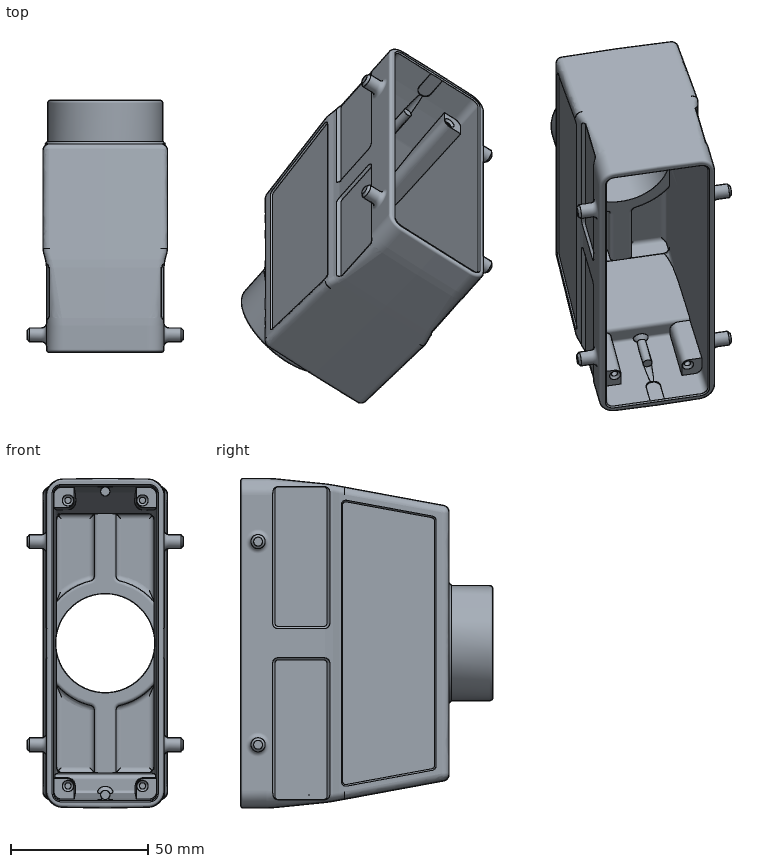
import cadquery as cq
import math


body_depth = 76.0
mouth_half_width = 21.4
rear_half_width = 22.7
mouth_half_height = 60.1
rear_half_height = 49.9
mouth_corner = 6.0
rear_corner = 2.4
straight_depth = 11.0
mouth_bend_length = 2.9
rear_bend_length = 2.9
bend_depth = 32.3
flare_end_depth = 36.2
flare_half_width = 22.5
rear_start_depth = 37.9
bend_half_height = 57.9
ridge_angle = 0.9
rear_slope = (bend_half_height - rear_half_height) / (body_depth - bend_depth)
mouth_edge_round = 1.0


def rear_height_at(depth):
    return rear_half_height + rear_slope * (body_depth - depth)


front_shell_sections = [
    (0, mouth_half_width, mouth_half_height, mouth_corner),
    (straight_depth, mouth_half_width, mouth_half_height, mouth_corner),
    (bend_depth, mouth_half_width, bend_half_height, rear_corner),
    (flare_end_depth, flare_half_width, rear_height_at(flare_end_depth), rear_corner),
]
front_shell_bend_lengths = [mouth_bend_length, rear_bend_length]
rear_start_section = (
    rear_start_depth, rear_half_width, rear_height_at(rear_start_depth), rear_corner)

land_depth = 65.5
cavity_mouth_half_width = 18.9
cavity_rear_half_width = 17.8
cavity_mouth_half_height = 57.3
cavity_first_bend_depth = 12.6
cavity_first_bend_half_height = 56.7
cavity_second_bend_depth = 29.5
cavity_second_bend_half_height = 54.8
cavity_rear_half_height = 47.4
cavity_corner = 2.8


def cavity_half_width(depth):
    narrowing = cavity_mouth_half_width - cavity_rear_half_width
    return cavity_mouth_half_width - narrowing * depth / land_depth


cavity_sections = [
    (depth, cavity_half_width(depth), half_height, cavity_corner)
    for depth, half_height in [
        (0, cavity_mouth_half_height),
        (cavity_first_bend_depth, cavity_first_bend_half_height),
        (cavity_second_bend_depth, cavity_second_bend_half_height),
        (land_depth, cavity_rear_half_height),
    ]
]

cavity_mouth_chamfer = 0.5
cavity_first_bend_length = 4.8
cavity_second_bend_length = 0.5
cavity_bend_lengths = [cavity_first_bend_length, cavity_second_bend_length]

post_front = 10.8
post_inner_x = 11.3
post_inner_z = 49.4
post_round = 2.6
post_draft = 1.1
screw_x = 13.6
screw_z = 52.0
screw_hole_diameter = 2.3
screw_chamfer_diameter = 4.1
screw_hole_depth = 14.4

ledge_front = 30.7
ledge_front_top_z = -48.1
ledge_rear_top_z = -47.2
ledge_edge_round = 1.7
ledge_foot_round = 1.2

pocket_floor = 72.1
pocket_end_z = 47.1
rib_half_width = 4.0
ring_radius = 23.3
rib_joint_round = 1.8
pocket_edge_round = 1.2
pocket_floor_round = 1.9

outlet_diameter = 42.1
outlet_bore = 36.0
outlet_end = 92.0
outlet_end_round = 1.2
outlet_foot_round = 1.0

peg_diameter = 5.2
peg_tip_x = 28.5
peg_y = 6.4
peg_z = 37.0
peg_tip_chamfer = 1.0
peg_foot_round = 1.8

front_panel_depth = 1.02
front_panel_start = 11.7
front_panel_inner_z = 5.3
front_panel_outer_z = 57.8
front_panel_wall_run = 0.8
rear_panel_depth = 0.6
rear_panel_wall_run = 0.6
rear_panel_start = 36.5
rear_panel_end = 71.3
rear_panel_margin = 5.3
panel_corner = 1.2

pin_diameter = 3.4
pin_z = 55.3
pin_start = 18.0
pin_end = 33.7
pin_collar_diameter = 6.3
mouth_relief_width = 5.3
mouth_relief_depth = 10.0
mouth_relief_corner = 2.5

overlap = 1.2
arc_middle = 1 - math.sqrt(0.5)


def y_cylinder(diameter, x, z, start, end):
    return cq.Workplane(cq.Solid.makeCylinder(
        diameter / 2, end - start, cq.Vector(x, start, z), cq.Vector(0, 1, 0)))


def box_between(x_range, y_range, z_range):
    corner = cq.Vector(x_range[0], y_range[0], z_range[0])
    return cq.Workplane(cq.Solid.makeBox(
        x_range[1] - x_range[0], y_range[1] - y_range[0], z_range[1] - z_range[0], corner))


def section_wire(depth, half_width, half_height, corner, ridge):
    """Rounded rectangle at one depth, its short sides rising by the ridge angle to X = 0."""
    angle = math.radians(ridge)
    center_x = half_width - corner
    center_z = half_height - center_x * math.tan(angle) - corner / math.cos(angle)

    def corner_point(degrees_from_x, side_x, side_z):
        turn = math.radians(degrees_from_x)
        return side_x * (center_x + corner * math.cos(turn)), side_z * (center_z + corner * math.sin(turn))

    side, middle, eave = 0, 45, 90 - ridge
    outline = (
        cq.Workplane("XZ", origin=(0, depth, 0))
        .moveTo(0, half_height)
        .lineTo(*corner_point(eave, 1, 1))
        .threePointArc(corner_point(middle, 1, 1), corner_point(side, 1, 1))
        .lineTo(*corner_point(side, 1, -1))
        .threePointArc(corner_point(middle, 1, -1), corner_point(eave, 1, -1))
        .lineTo(0, -half_height)
        .lineTo(*corner_point(eave, -1, -1))
        .threePointArc(corner_point(middle, -1, -1), corner_point(side, -1, -1))
        .lineTo(*corner_point(side, -1, 1))
        .threePointArc(corner_point(middle, -1, 1), corner_point(eave, -1, 1))
        .close()
    )
    return outline.val()


def interpolate(start, end, fraction):
    return tuple(a + (b - a) * fraction for a, b in zip(start, end))


def ease_bends(sections, bend_lengths):
    """Replace every inner section by one just before and one just after it."""
    eased = [sections[0]]
    for before, bend, after, length in zip(sections, sections[1:], sections[2:], bend_lengths):
        half = length / 2
        eased.append(interpolate(bend, before, half / (bend[0] - before[0])))
        eased.append(interpolate(bend, after, half / (after[0] - bend[0])))
    return eased + [sections[-1]]


def loft_sections(sections, ridge):
    wires = [section_wire(*section, ridge) for section in sections]
    return cq.Workplane(cq.Solid.makeLoft(wires, True))


def ridged_wire(depth, half_width, half_height):
    """Sharp cornered version of the section outline."""
    eave = half_height - half_width * math.tan(math.radians(ridge_angle))
    points = [
        (0, half_height), (half_width, eave), (half_width, -eave),
        (0, -half_height), (-half_width, -eave), (-half_width, eave)]
    return cq.Workplane("XZ", origin=(0, depth, 0)).polyline(points).close().val()


def make_front_shell():
    sections = ease_bends(front_shell_sections, front_shell_bend_lengths) + [rear_start_section]
    return loft_sections(sections, ridge_angle).faces("<Y").edges().fillet(mouth_edge_round)


def make_rear_shell():
    """Tapered rear half, rounded along its corners and around the rear face."""
    wires = [
        ridged_wire(rear_start_depth, rear_half_width, rear_height_at(rear_start_depth)),
        ridged_wire(body_depth, rear_half_width, rear_half_height)]
    rear = cq.Workplane(cq.Solid.makeLoft(wires, True))
    rear_face_edges = rear.faces(">Y").edges()
    corner_edges = rear.faces("<X or >X").edges("not |Z").edges("not #Y")
    return corner_edges.add(rear_face_edges).fillet(rear_corner)


def make_outer_shell():
    return make_front_shell().union(make_rear_shell())


def add_outlet(shell):
    tube = y_cylinder(outlet_diameter, 0, 0, body_depth - overlap, outlet_end)
    tube = tube.faces(">Y").edges().fillet(outlet_end_round)
    foot = cq.Workplane(cq.Solid.makeCone(
        outlet_diameter / 2 + outlet_foot_round, outlet_diameter / 2, outlet_foot_round,
        cq.Vector(0, body_depth, 0), cq.Vector(0, 1, 0)))
    return shell.union(tube).union(foot)


def make_rear_web():
    """Outlet ring and the rib across it, standing proud of the pocket floors with rounded edges."""
    ring = y_cylinder(2 * ring_radius, 0, 0, land_depth, pocket_floor)
    rib = box_between(
        (-rib_half_width, rib_half_width), (land_depth, pocket_floor), (-rear_half_height, rear_half_height))
    web = ring.union(rib)
    reach = rib_half_width + overlap
    joints = cq.selectors.BoxSelector((-reach, 0, -ring_radius), (reach, body_depth, ring_radius))
    web = web.edges("|Y").edges(joints).fillet(rib_joint_round)
    return web.faces("<Y").edges().fillet(pocket_edge_round)


def make_pockets():
    """The four pockets between the ring, the rib and the cavity walls."""
    block = box_between(
        (-cavity_rear_half_width, cavity_rear_half_width), (land_depth, pocket_floor),
        (-pocket_end_z, pocket_end_z))
    pockets = block.cut(make_rear_web())
    return pockets.faces(">Y").edges().fillet(pocket_floor_round)


def make_post(side_x, side_z):
    """Corner post, from its front face back into the rear wall."""
    front = box_between(
        (post_inner_x, mouth_half_width), (post_front, post_front + overlap),
        (post_inner_z, mouth_half_height))
    front = front.edges("|Y and <X and <Z").fillet(post_round)
    outline = front.faces("<Y").wires().val()
    length = land_depth + overlap - post_front
    post = (
        cq.Workplane("XZ", origin=(0, post_front, 0))
        .add(outline)
        .toPending()
        .extrude(-length, taper=-post_draft)
    )
    if side_x < 0:
        post = post.mirror("YZ")
    return post.mirror("XY") if side_z < 0 else post


def make_ledge():
    """Ledge with a rounded top edge and a rounded foot, plus the collar around the lower pin."""
    foot_z = -cavity_second_bend_half_height
    top_bulge = ledge_edge_round * arc_middle
    foot_bulge = ledge_foot_round * arc_middle
    profile = (
        cq.Workplane("YZ", origin=(-mouth_half_width, 0, 0))
        .moveTo(land_depth + overlap, -mouth_half_height)
        .lineTo(land_depth + overlap, ledge_rear_top_z)
        .lineTo(ledge_front + ledge_edge_round, ledge_front_top_z)
        .threePointArc(
            (ledge_front + top_bulge, ledge_front_top_z - top_bulge),
            (ledge_front, ledge_front_top_z - ledge_edge_round))
        .lineTo(ledge_front, foot_z + ledge_foot_round)
        .threePointArc(
            (ledge_front - foot_bulge, foot_z + foot_bulge),
            (ledge_front - ledge_foot_round, foot_z))
        .lineTo(ledge_front - ledge_foot_round, -mouth_half_height)
        .close()
    )
    collar_height = (pin_collar_diameter - pin_diameter) / 2
    collar = cq.Workplane(cq.Solid.makeCone(
        pin_diameter / 2, pin_collar_diameter / 2, collar_height,
        cq.Vector(0, ledge_front - collar_height, -pin_z), cq.Vector(0, 1, 0)))
    return profile.extrude(2 * mouth_half_width).union(collar)


def make_cavity():
    """The hollow of the hood: tapered core less the posts and the ledge, plus the rear pockets."""
    main_sections = ease_bends(cavity_sections, cavity_bend_lengths)
    mouth_section = (
        0, cavity_mouth_half_width + cavity_mouth_chamfer,
        cavity_mouth_half_height + cavity_mouth_chamfer, cavity_corner + cavity_mouth_chamfer)
    throat_section = interpolate(
        main_sections[0], main_sections[1], cavity_mouth_chamfer / main_sections[1][0])
    cavity = loft_sections([mouth_section, throat_section] + main_sections[1:], 0)
    for side_x in (-1, 1):
        for side_z in (-1, 1):
            cavity = cavity.cut(make_post(side_x, side_z))
    cavity = cavity.cut(make_ledge())
    return cavity.union(make_pockets())


def cut_screw_holes(hood):
    chamfer_depth = (screw_chamfer_diameter - screw_hole_diameter) / 2
    for x in (-screw_x, screw_x):
        for z in (-screw_z, screw_z):
            hole = y_cylinder(screw_hole_diameter, x, z, post_front, post_front + screw_hole_depth)
            countersink = cq.Workplane(cq.Solid.makeCone(
                screw_chamfer_diameter / 2, screw_hole_diameter / 2, chamfer_depth,
                cq.Vector(x, post_front, z), cq.Vector(0, 1, 0)))
            hood = hood.cut(hole).cut(countersink)
    return hood


def make_peg(side_x, z):
    """Side peg with a rounded foot, revolved about its own axis."""
    radius = peg_diameter / 2
    foot_x = mouth_half_width
    root_x = foot_x - overlap
    foot_end_x = foot_x + peg_foot_round
    bulge = peg_foot_round * arc_middle
    profile = (
        cq.Workplane("XY")
        .moveTo(root_x, 0)
        .lineTo(root_x, radius + peg_foot_round)
        .lineTo(foot_x, radius + peg_foot_round)
        .threePointArc((foot_x + bulge, radius + bulge), (foot_end_x, radius))
        .lineTo(peg_tip_x - peg_tip_chamfer, radius)
        .lineTo(peg_tip_x, radius - peg_tip_chamfer)
        .lineTo(peg_tip_x, 0)
        .close()
    )
    peg = profile.revolve(360, (0, 0, 0), (1, 0, 0)).translate((0, peg_y, z))
    return peg.mirror("YZ") if side_x < 0 else peg


def add_pegs(hood):
    for side_x in (-1, 1):
        for z in (-peg_z, peg_z):
            hood = hood.union(make_peg(side_x, z))
    return hood


def make_panel_cutter(points, bottom_x, depth, wall_run):
    """Recess tool on the +X side whose walls slope outwards from the recess floor."""
    height = depth + overlap
    taper = math.degrees(math.atan2(wall_run, depth))
    floor_outline = cq.Workplane("YZ", origin=(bottom_x, 0, 0)).polyline(points).close()
    block = floor_outline.extrude(height).edges("|X").fillet(panel_corner)
    floor_wire = block.faces("<X").wires().val()
    floor_plane = cq.Workplane("YZ", origin=(bottom_x, 0, 0))
    return floor_plane.add(floor_wire).toPending().extrude(height, taper=-taper)


def cut_side_panels(hood):
    def panel_z(depth):
        return rear_height_at(depth) - rear_panel_margin

    first = rear_panel_start + rear_panel_wall_run
    last = rear_panel_end - rear_panel_wall_run
    rear_points = [
        (first, panel_z(first)), (last, panel_z(last)), (last, -panel_z(last)), (first, -panel_z(first))]
    rear_panel = make_panel_cutter(
        rear_points, rear_half_width - rear_panel_depth, rear_panel_depth, rear_panel_wall_run)

    front_floor_start = front_panel_start + front_panel_wall_run
    front_floor_end = bend_depth - front_panel_wall_run
    front_floor_bottom = front_panel_inner_z + front_panel_wall_run
    front_floor_top = front_panel_outer_z - front_panel_wall_run
    front_points = [
        (front_floor_start, front_floor_bottom), (front_floor_end, front_floor_bottom),
        (front_floor_end, front_floor_top), (front_floor_start, front_floor_top)]
    front_panel = make_panel_cutter(
        front_points, mouth_half_width - front_panel_depth, front_panel_depth, front_panel_wall_run)
    for tool in (rear_panel, front_panel, front_panel.mirror("XY")):
        hood = hood.cut(tool).cut(tool.mirror("YZ"))
    return hood


def cut_pin_holes(hood):
    """Pin holes, half open to the cavity, widened near the mouth."""
    for z in (-pin_z, pin_z):
        hole = y_cylinder(pin_diameter, 0, z, 0, pin_end)
        relief = box_between(
            (-mouth_relief_width / 2, mouth_relief_width / 2), (0, mouth_relief_depth),
            (pin_z, cavity_mouth_half_height))
        relief = relief.edges("|Z and >Y").fillet(mouth_relief_corner)
        if z < 0:
            relief = relief.mirror("XY")
        hood = hood.cut(hole).cut(relief)
    return hood


def make_hood():
    hood = add_outlet(make_outer_shell())
    hood = add_pegs(hood)
    hood = cut_side_panels(hood)
    hood = hood.cut(make_cavity())
    hood = hood.cut(y_cylinder(outlet_bore, 0, 0, 0, outlet_end + overlap))
    hood = cut_screw_holes(hood)
    return cut_pin_holes(hood)


def make_guide_pin(z):
    return y_cylinder(pin_diameter, 0, z, pin_start, pin_end)


hood = make_hood()
guide_pins = [make_guide_pin(z) for z in (-pin_z, pin_z)]

result = cq.Compound.makeCompound([hood.val(), *[pin.val() for pin in guide_pins]])